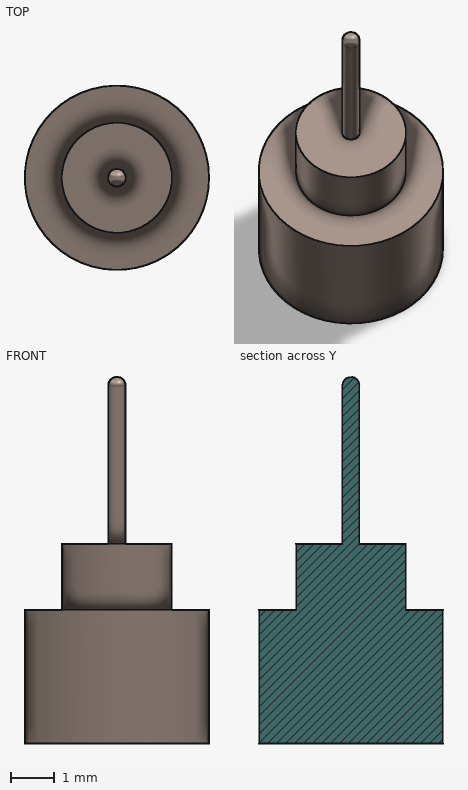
import cadquery as cq

total_height = 8.35

base_diameter = 4.2
base_height = 3.05
collar_diameter = 2.505
collar_height = 1.5

pin_diameter = 0.4
pin_radius = pin_diameter / 2
collar_top = base_height + collar_height
pin_length = total_height - collar_top

base = cq.Workplane("XY").circle(base_diameter / 2).extrude(base_height)
body = base.faces(">Z").workplane().circle(collar_diameter / 2).extrude(collar_height)

shank_length = pin_length - pin_radius
shank = cq.Workplane("XY").workplane(offset=collar_top).circle(pin_radius).extrude(shank_length)
tip = cq.Workplane("XY").sphere(pin_radius).translate((0, 0, total_height - pin_radius))

result = body.union(shank).union(tip)